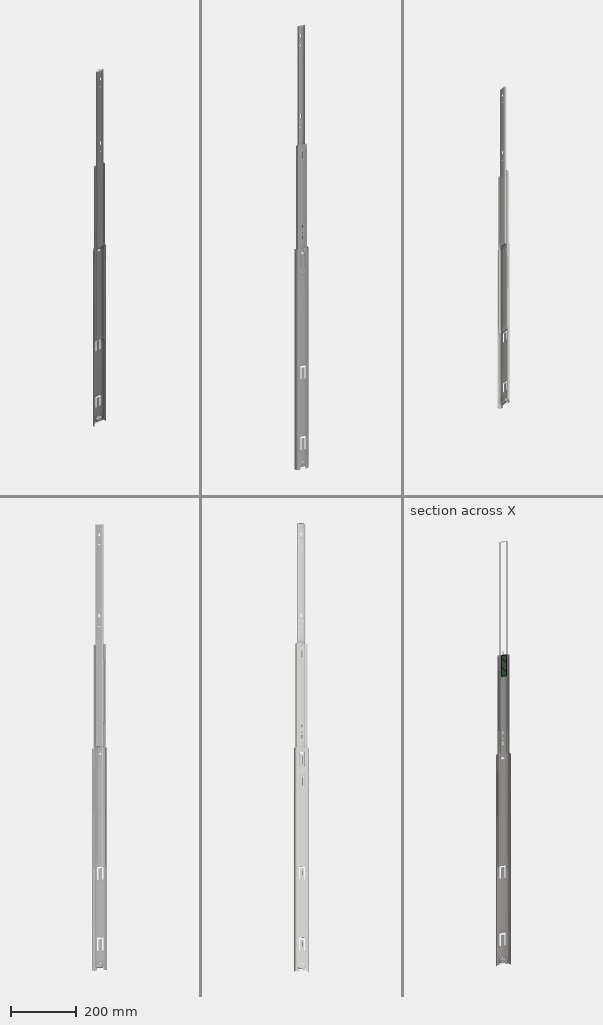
import cadquery as cq

rail_length = 700.0
total_length = 1405.0
total_depth = 12.79

outer_width = 45.7
outer_sheet = 1.4
outer_front = 12.0
outer_web_half = 17.6
outer_bend_end = 6.6

middle_top = 1028.0
middle_width = 36.8
middle_sheet = 1.2
middle_back = 2.9
middle_front = 10.8
middle_web_half = 16.7
pan_depth = 0.8
pan_inner_half = 7.0
pan_outer_half = 10.0
middle_flange_bulge = 0.08

inner_width = 24.0
inner_sheet = 1.2
inner_back = 6.0
inner_bend_radius = 2.0
groove_start = 7.2
groove_end = 10.0
groove_depth = 0.4
recess_depth = 0.4
recess_width = 17.4
recess_bottom = 1103.0
recess_top = 1358.0
recess_ramp = 4.0
tab_back = 3.0
tab_base_width = 17.4
tab_tip_width = 8.0

cage_sheet = 0.5
cage_clearance = 0.1
cage_front = 10.8
outer_cage_half = 20.1
outer_cage_web_half = 16.2
outer_cage_slope_end = 3.6
outer_cage_bottom = 500.0
outer_cage_top = 640.0
inner_cage_half = 14.1
inner_cage_bottom = 780.0
inner_cage_top = 980.0

upper_tongue_tops = [686.0, 619.0]
lower_tongue_tops = [328.0, 104.0]
upper_tongue_height = 47.0
lower_tongue_height = 42.0
tongue_cut_width = 19.6
tongue_width = 11.0
tongue_gap = 6.0
tongue_slot_drop = 11.0
tongue_slot_depth = 0.5
upper_tongue_slot = 30.0
lower_tongue_slot = 19.0

fixing_hole = 4.6
outer_hole_height = 23.0
middle_slots = [
    (1022.0, fixing_hole),
    (995.0, 22.0),
    (769.0, 9.5),
    (749.5, fixing_hole),
    (734.0, 12.5),
]
middle_access_hole = 10.0
middle_access_height = 685.0
inner_slots = [
    (1373.0, 10.0),
    (1342.0, fixing_hole),
    (1118.0, 13.4),
    (1083.0, fixing_hole),
]

end_notch_width = 20.5
end_notch_height = 12.0
top_slit_width = 3.5
relief_half_spacing = 15.5
relief_width = 1.0
relief_height = 9.0

bumper_width = 19.0
bumper_bottom = 7.0
bumper_height = 12.0
bumper_depth = 6.0
lever_width = 17.4
lever_bottom = 960.0
lever_top = 1030.5
lever_thickness = 1.6
finger_width = 3.0
finger_offset = -1.8
finger_height = 12.0


def extrude_section(section, bottom, top):
    """Close a half section (Y >= 0), mirror it across Y = 0 and extrude it from bottom to top."""
    half = section.close().extrude(top - bottom)
    return half.union(half.mirror("XZ")).clean().translate((0, 0, bottom))


def box_through_x(width, bottom, top, y=0.0, x_start=0.0, x_end=total_depth):
    """Box between two heights, centred at y, spanning x_start to x_end."""
    block = cq.Workplane("XY").box(x_end - x_start, width, top - bottom, centered=(False, True, False))
    return block.translate((x_start, y, bottom))


def slot_cutter(width, length, z, depth=total_depth):
    """Upright round-ended slot from X = 0, centred at height z; a round hole if length equals width."""
    plane = cq.Workplane("YZ").center(0, z)
    if length > width:
        outline = plane.slot2D(length, width, 90)
    else:
        outline = plane.circle(width / 2)
    return outline.extrude(depth)


def tongue_cutter(top, height, slot_length):
    """U-shaped cut that frees a web tongue, with a shallow slot pressed into that tongue."""
    bottom = top - height
    tongue = box_through_x(tongue_width, bottom, top - tongue_gap)
    frame = box_through_x(tongue_cut_width, bottom, top).cut(tongue)
    slot_z = top - tongue_slot_drop - slot_length / 2
    return frame.union(slot_cutter(fixing_hole, slot_length, slot_z, tongue_slot_depth))


def make_outer_rail():
    """Channel with curved corners, web tongues and notched ends."""
    half = outer_width / 2
    run = outer_bend_end
    rise = half - outer_web_half
    bend_radius = (run**2 + rise**2) / (2 * rise)
    inner_radius = bend_radius - outer_sheet
    centre_y = half - bend_radius
    inner_web_y = centre_y + (inner_radius**2 - (run - outer_sheet) ** 2) ** 0.5
    section = (
        cq.Workplane("XY")
        .lineTo(0, outer_web_half)
        .radiusArc((run, half), bend_radius)
        .lineTo(outer_front, half)
        .lineTo(outer_front, half - outer_sheet)
        .lineTo(run, half - outer_sheet)
        .radiusArc((outer_sheet, inner_web_y), -inner_radius)
        .lineTo(outer_sheet, 0)
    )
    rail = extrude_section(section, 0, rail_length)
    for top in upper_tongue_tops:
        rail = rail.cut(tongue_cutter(top, upper_tongue_height, upper_tongue_slot))
    for top in lower_tongue_tops:
        rail = rail.cut(tongue_cutter(top, lower_tongue_height, lower_tongue_slot))
    rail = rail.cut(slot_cutter(fixing_hole, fixing_hole, outer_hole_height))
    rail = rail.cut(box_through_x(end_notch_width, 0, end_notch_height))
    rail = rail.cut(box_through_x(top_slit_width, max(upper_tongue_tops), rail_length))
    for side in (-1, 1):
        relief_y = side * relief_half_spacing
        rail = rail.cut(box_through_x(relief_width, rail_length - relief_height, rail_length, relief_y))
    return rail


def make_middle_rail():
    """Channel with a shallow pan along its web and gently bowed flanges."""
    half = middle_width / 2
    inside = middle_back + middle_sheet
    pan_back = middle_back + pan_depth
    mid_x = (middle_back + middle_front) / 2
    mid_y = (middle_web_half + half) / 2 + middle_flange_bulge
    section = (
        cq.Workplane("XY")
        .moveTo(pan_back, 0)
        .lineTo(pan_back, pan_inner_half)
        .lineTo(middle_back, pan_outer_half)
        .lineTo(middle_back, middle_web_half)
        .threePointArc((mid_x, mid_y), (middle_front, half))
        .lineTo(middle_front, half - middle_sheet)
        .threePointArc((mid_x, mid_y - middle_sheet), (inside, middle_web_half - middle_sheet))
        .lineTo(inside, pan_outer_half)
        .lineTo(pan_back + middle_sheet, pan_inner_half)
        .lineTo(pan_back + middle_sheet, 0)
    )
    rail = extrude_section(section, middle_top - rail_length, middle_top)
    for z, length in middle_slots:
        rail = rail.cut(slot_cutter(fixing_hole, length, z))
    return rail.cut(slot_cutter(middle_access_hole, middle_access_hole, middle_access_height))


def recess_cutter(web_face):
    """Shallow recess in the inner web, with a ramp at each end."""
    floor = web_face + recess_depth
    profile = (
        cq.Workplane("XZ")
        .moveTo(web_face, recess_bottom - recess_ramp)
        .lineTo(floor, recess_bottom)
        .lineTo(floor, recess_top)
        .lineTo(web_face, recess_top + recess_ramp)
        .close()
    )
    return profile.extrude(recess_width / 2, both=True)


def make_end_tab(web_face):
    """Tapered tab bent from the upper end of the inner web, reaching back across the channel."""
    outline = [
        (web_face, -tab_base_width / 2),
        (web_face, tab_base_width / 2),
        (tab_back, tab_tip_width / 2),
        (tab_back, -tab_tip_width / 2),
    ]
    return cq.Workplane("XY", origin=(0, 0, total_length)).polyline(outline).close().extrude(-inner_sheet)


def make_inner_rail():
    """Channel facing the middle rail, grooved along the outside of both flanges."""
    half = inner_width / 2
    radius = inner_bend_radius
    small_radius = radius - inner_sheet
    web_inside = total_depth - inner_sheet
    section = (
        cq.Workplane("XY")
        .moveTo(total_depth, 0)
        .lineTo(total_depth, half - radius)
        .radiusArc((total_depth - radius, half), -radius)
        .lineTo(groove_end, half)
        .threePointArc(((groove_start + groove_end) / 2, half - groove_depth), (groove_start, half))
        .lineTo(inner_back, half)
        .lineTo(inner_back, half - inner_sheet)
        .lineTo(total_depth - radius, half - inner_sheet)
        .radiusArc((web_inside, half - inner_sheet - small_radius), small_radius)
        .lineTo(web_inside, 0)
    )
    rail = extrude_section(section, total_length - rail_length, total_length)
    rail = rail.union(make_end_tab(web_inside))
    rail = rail.cut(recess_cutter(web_inside))
    for z, length in inner_slots:
        rail = rail.cut(slot_cutter(fixing_hole, length, z))
    return rail


def make_outer_cage():
    """Sheet channel between the outer and middle rails, with sloped corners."""
    back = outer_sheet + cage_clearance
    inside = back + cage_sheet
    section = (
        cq.Workplane("XY")
        .moveTo(back, 0)
        .lineTo(back, outer_cage_web_half)
        .lineTo(outer_cage_slope_end, outer_cage_half)
        .lineTo(cage_front, outer_cage_half)
        .lineTo(cage_front, outer_cage_half - cage_sheet)
        .lineTo(outer_cage_slope_end + cage_sheet, outer_cage_half - cage_sheet)
        .lineTo(inside, outer_cage_web_half)
        .lineTo(inside, 0)
    )
    return extrude_section(section, outer_cage_bottom, outer_cage_top)


def make_inner_cage():
    """Square-cornered sheet channel between the middle and inner rails."""
    back = middle_back + pan_depth + middle_sheet + cage_clearance
    inside = back + cage_sheet
    section = (
        cq.Workplane("XY")
        .moveTo(back, 0)
        .lineTo(back, inner_cage_half)
        .lineTo(cage_front, inner_cage_half)
        .lineTo(cage_front, inner_cage_half - cage_sheet)
        .lineTo(inside, inner_cage_half - cage_sheet)
        .lineTo(inside, 0)
    )
    return extrude_section(section, inner_cage_bottom, inner_cage_top)


def make_lever():
    """Release lever: a plate on the inner web with a narrow finger at its upper end."""
    front = total_depth - inner_sheet
    back = front - lever_thickness
    plate = box_through_x(lever_width, lever_bottom, lever_top, x_start=back, x_end=front)
    finger = box_through_x(
        finger_width, lever_top, lever_top + finger_height, finger_offset, back, front
    )
    return plate.union(finger)


def make_bumper():
    """Stop block on the outer web, just inside the lower end."""
    return box_through_x(
        bumper_width, bumper_bottom, bumper_bottom + bumper_height,
        x_start=outer_sheet, x_end=outer_sheet + bumper_depth,
    )


outer_rail = make_outer_rail()
middle_rail = make_middle_rail()
inner_rail = make_inner_rail()
outer_cage = make_outer_cage()
inner_cage = make_inner_cage()
lever = make_lever()
bumper = make_bumper()

result = cq.Compound.makeCompound([
    outer_rail.val(),
    middle_rail.val(),
    inner_rail.val(),
    outer_cage.val(),
    inner_cage.val(),
    lever.val(),
    bumper.val(),
])